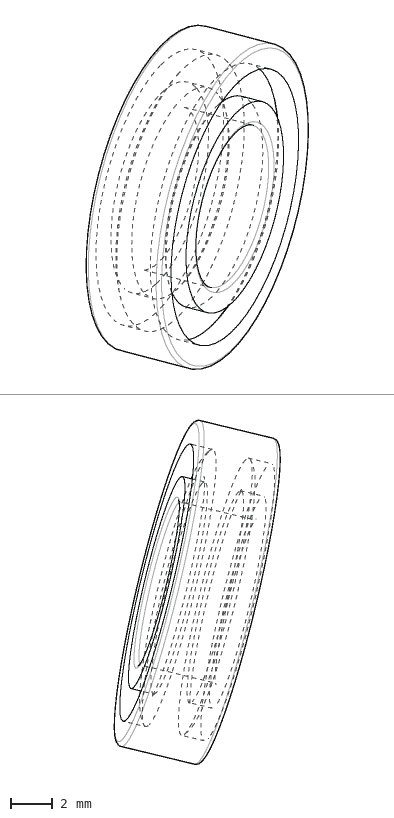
import cadquery as cq
import math

width = 4.0
outer_diameter = 16.0
bore_diameter = 8.0
edge_radius = 0.2
gap_width = 1.6
ball_radius = 1.2

face_x = width / 2
outer_radius = outer_diameter / 2
bore_radius = bore_diameter / 2
pitch_radius = (outer_radius + bore_radius) / 2
gap_outer_radius = pitch_radius + gap_width / 2
gap_inner_radius = pitch_radius - gap_width / 2
meeting_x = math.sqrt(ball_radius**2 - (gap_width / 2) ** 2)

arc_inset = edge_radius * (1 - math.sqrt(0.5))

profile = (
    cq.Workplane("XZ")
    .moveTo(-face_x + edge_radius, bore_radius)
    .lineTo(face_x - edge_radius, bore_radius)
    .threePointArc((face_x - arc_inset, bore_radius + arc_inset), (face_x, bore_radius + edge_radius))
    .lineTo(face_x, gap_inner_radius)
    .lineTo(meeting_x, gap_inner_radius)
    .threePointArc((ball_radius, pitch_radius), (meeting_x, gap_outer_radius))
    .lineTo(face_x, gap_outer_radius)
    .lineTo(face_x, outer_radius - edge_radius)
    .threePointArc((face_x - arc_inset, outer_radius - arc_inset), (face_x - edge_radius, outer_radius))
    .lineTo(-face_x + edge_radius, outer_radius)
    .threePointArc((-face_x + arc_inset, outer_radius - arc_inset), (-face_x, outer_radius - edge_radius))
    .lineTo(-face_x, gap_outer_radius)
    .lineTo(-meeting_x, gap_outer_radius)
    .threePointArc((-ball_radius, pitch_radius), (-meeting_x, gap_inner_radius))
    .lineTo(-face_x, gap_inner_radius)
    .lineTo(-face_x, bore_radius + edge_radius)
    .threePointArc((-face_x + arc_inset, bore_radius + arc_inset), (-face_x + edge_radius, bore_radius))
    .close()
)

result = profile.revolve(360, (0, 0, 0), (1, 0, 0))